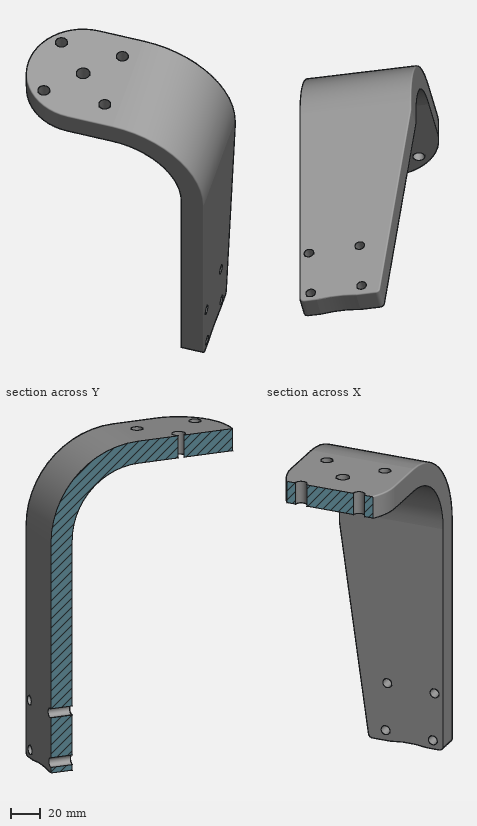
import cadquery as cq
import math

length = 133.35
width = 76.2
height = 225.43
thickness = 15.875
bend_radius = 63.5
edge_round = 1.0

half_width = width / 2
plate_bolt_circle = 60.0
plate_bolt_hole = 8.0
plate_centre_hole = 9.1

taper_start_z = -71.0
leg_taper_angle = 8.0
foot_corner_radius = 3.175
foot_arch_y = -12.9
foot_arch_half_span = 13.5
foot_arch_rise = 1.1
leg_hole = 6.48
leg_bolt_circle = 49.0
leg_pattern_y = -13.8
leg_pattern_above_foot = 24.2
leg_pattern_tilt = 2.0

outer_x = length - half_width
foot_z = -height
foot_y = half_width - (taper_start_z - foot_z) * math.tan(math.radians(leg_taper_angle))


def bent_strip():
    """Side profile of the L-shaped strip, extruded over the full width."""
    inner_radius = bend_radius - thickness
    bend_x = outer_x - bend_radius
    diagonal = math.sqrt(0.5)
    outer_mid = (bend_x + bend_radius * diagonal, bend_radius * (diagonal - 1))
    inner_mid = (bend_x + inner_radius * diagonal, inner_radius * diagonal - bend_radius)
    profile = (
        cq.Workplane("XZ", origin=(0, half_width, 0))
        .moveTo(-half_width, 0)
        .lineTo(bend_x, 0)
        .threePointArc(outer_mid, (outer_x, -bend_radius))
        .lineTo(outer_x, foot_z)
        .lineTo(outer_x - thickness, foot_z)
        .lineTo(outer_x - thickness, -bend_radius)
        .threePointArc(inner_mid, (bend_x, -thickness))
        .lineTo(-half_width, -thickness)
        .close()
    )
    return profile.extrude(width)


def plate_outline():
    """Plan outline: semicircular end at -X, straight sides towards +X."""
    return (
        cq.Workplane("XY", origin=(0, 0, foot_z))
        .moveTo(outer_x, half_width)
        .lineTo(0, half_width)
        .threePointArc((-half_width, 0), (0, -half_width))
        .lineTo(outer_x, -half_width)
        .close()
        .extrude(height)
    )


def leg_outline():
    """Outline across Y and Z: taper on the +Y side, rounded corners and a shallow arch at the foot."""
    tapered = (
        cq.Workplane("YZ", origin=(-half_width, 0, 0))
        .moveTo(-half_width, 0)
        .lineTo(half_width, 0)
        .lineTo(half_width, taper_start_z)
        .lineTo(foot_y, foot_z)
        .lineTo(-half_width, foot_z)
        .close()
        .extrude(length)
    )
    arch = (
        cq.Workplane("YZ", origin=(-half_width, 0, 0))
        .moveTo(foot_arch_y - foot_arch_half_span, foot_z)
        .threePointArc(
            (foot_arch_y, foot_z + foot_arch_rise),
            (foot_arch_y + foot_arch_half_span, foot_z),
        )
        .close()
        .extrude(length)
    )
    return tapered.faces("<Z").edges("|X").fillet(foot_corner_radius).cut(arch)


def round_outer_rim(body):
    """Round the rim of the outer face along the nose, both sides and the foot."""
    plate_rim = body.faces(">Z").edges("not(|Y)")
    leg_rim = body.faces(">X").edges("not(>Z)")
    return plate_rim.add(leg_rim).fillet(edge_round)


def square_pattern(plane, bolt_circle, tilt, diameter):
    """Four through-hole cutters on the corners of a square."""
    square_corner_angle = 45
    return (
        plane.polarArray(bolt_circle / 2, square_corner_angle + tilt, 360, 4)
        .circle(diameter / 2)
        .extrude(-thickness)
    )


def plate_holes():
    plane = cq.Workplane("XY")
    centre = plane.circle(plate_centre_hole / 2).extrude(-thickness)
    return square_pattern(plane, plate_bolt_circle, 0, plate_bolt_hole).union(centre)


def leg_holes():
    plane = cq.Workplane("YZ", origin=(outer_x, leg_pattern_y, foot_z + leg_pattern_above_foot))
    return square_pattern(plane, leg_bolt_circle, leg_pattern_tilt, leg_hole)


body = bent_strip().intersect(plate_outline()).intersect(leg_outline())
body = round_outer_rim(body)
result = body.cut(plate_holes()).cut(leg_holes())